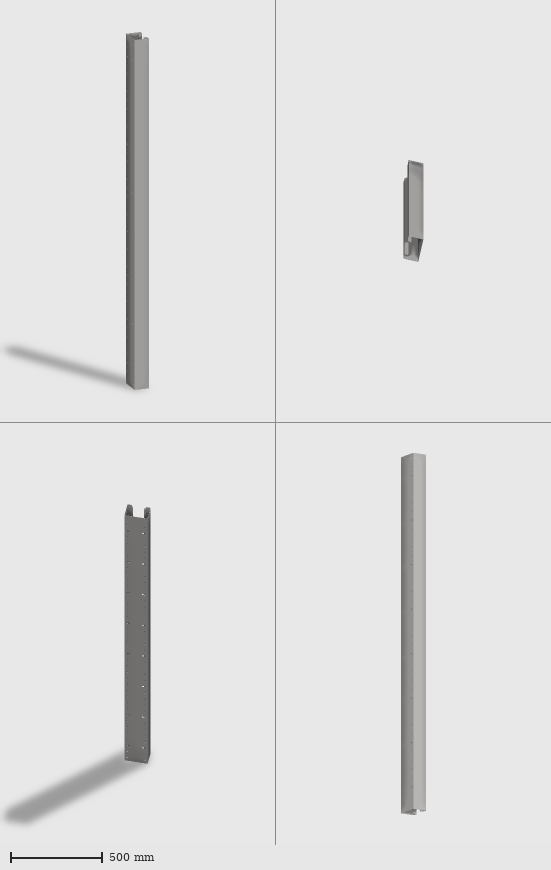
import cadquery as cq

WIDTH = 130.0
DEPTH = 83.0
LENGTH = 2000.0
THICKNESS = 1.0

FLANGE_WIDTH = 27.0
LIP_DEPTH = 20.0
LIP_FOOT_WIDTH = 6.0
LIP_RETURN_HEIGHT = 12.0

HOLE_DIAMETER = 7.0
HOLE_PITCH = 50.0
FIRST_HOLE_Z = HOLE_PITCH / 2
PLACE_COUNT = round(LENGTH / HOLE_PITCH)
HOLE_EDGE_DISTANCE = 15.5
SLOT_LENGTH = 20.0
SLOT_WIDTH = HOLE_DIAMETER
PLACES_PER_GROUP = 5
SLOT_PLACE = PLACES_PER_GROUP // 2

HALF_WIDTH = WIDTH / 2
BACK_Y = -DEPTH / 2
FRONT_Y = DEPTH / 2
SIDES = (-1, 1)


def channel():
    """C-shaped sheet channel, open between the lips on the +Y side, standing on Z = 0."""
    wall_inner_x = HALF_WIDTH - THICKNESS
    back_inner_y = BACK_Y + THICKNESS
    flange_inner_y = FRONT_Y - THICKNESS

    lip_outer_x = HALF_WIDTH - FLANGE_WIDTH
    lip_inner_x = lip_outer_x + THICKNESS
    foot_y = FRONT_Y - LIP_DEPTH
    foot_inner_y = foot_y + THICKNESS

    return_outer_x = lip_inner_x - LIP_FOOT_WIDTH
    return_inner_x = return_outer_x + THICKNESS
    return_top_y = foot_y + LIP_RETURN_HEIGHT

    right_half = [
        (HALF_WIDTH, BACK_Y),
        (HALF_WIDTH, FRONT_Y),
        (lip_outer_x, FRONT_Y),
        (lip_outer_x, foot_inner_y),
        (return_inner_x, foot_inner_y),
        (return_inner_x, return_top_y),
        (return_outer_x, return_top_y),
        (return_outer_x, foot_y),
        (lip_inner_x, foot_y),
        (lip_inner_x, flange_inner_y),
        (wall_inner_x, flange_inner_y),
        (wall_inner_x, back_inner_y),
    ]
    left_half = [(-x, y) for x, y in reversed(right_half)]
    return cq.Workplane("XY").polyline(right_half + left_half).close().extrude(LENGTH)


def perforation():
    """Cutters for the holes and slots through the back wall."""
    row_x = HALF_WIDTH - HOLE_EDGE_DISTANCE
    slot_x = row_x + (HOLE_DIAMETER - SLOT_LENGTH) / 2
    holes = []
    slots = []
    for place in range(PLACE_COUNT):
        z = FIRST_HOLE_Z + place * HOLE_PITCH
        for side in SIDES:
            if place % PLACES_PER_GROUP == SLOT_PLACE:
                slots.append((side * slot_x, z))
            else:
                holes.append((side * row_x, z))

    wall_inside = cq.Workplane("XZ", origin=(0, BACK_Y + THICKNESS, 0))
    hole_cutters = wall_inside.pushPoints(holes).circle(HOLE_DIAMETER / 2).extrude(THICKNESS)
    slot_cutters = wall_inside.pushPoints(slots).slot2D(SLOT_LENGTH, SLOT_WIDTH).extrude(THICKNESS)
    return hole_cutters.add(slot_cutters).combine()


result = channel().cut(perforation())